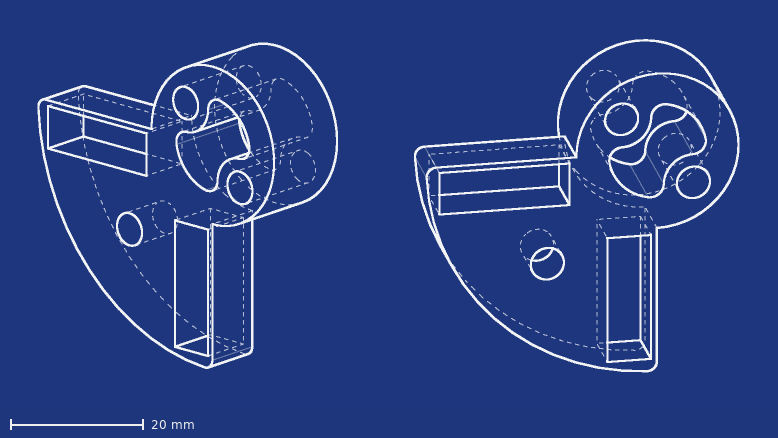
import cadquery as cq
import math

hub_radius = 12.45
hub_length = 14.15
overall_width = 47.9
sector_thickness = 8.95
sector_edge_offset = 0.1
sector_corner_radius = 1.5
wall = 1.0

hole_radius = 2.55
hub_hole_offset = 5.5
sector_hole_offset = 16.9
blind_depth = sector_thickness - wall

window_radius = 7.5
window_web = 2.0
window_corner_radius = 2.0

pocket_length = 19.95
pocket_width = 6.7
pocket_start = 13.5

corner_centre_reach = overall_width - hub_radius - sector_corner_radius
corner_centre_offset = sector_edge_offset + sector_corner_radius
sector_radius = math.hypot(corner_centre_reach, corner_centre_offset) + sector_corner_radius


def front_plane():
    """Sketch plane on the front face, with its normal along -Y."""
    return cq.Workplane("XZ")


def cylinder(x, z, radius, length):
    """Cylinder running back from the front face."""
    return front_plane().center(x, z).circle(radius).extrude(-length)


def make_sector():
    """Quarter disc below and left of the hub axis, with rounded outer corners."""
    diagonal = sector_radius * math.sqrt(0.5)
    edge_reach = math.sqrt(sector_radius**2 - sector_edge_offset**2)
    sector = (
        front_plane()
        .moveTo(-sector_edge_offset, -sector_edge_offset)
        .lineTo(-edge_reach, -sector_edge_offset)
        .threePointArc((-diagonal, -diagonal), (-sector_edge_offset, -edge_reach))
        .close()
        .extrude(-sector_thickness)
    )
    outer_corners = sector.edges("|Y").edges("<X or <Z")
    return outer_corners.fillet(sector_corner_radius)


def make_window():
    """Round opening narrowed by a web around each hub hole."""
    window = cylinder(0, 0, window_radius, hub_length)
    for side in (-1, 1):
        web = cylinder(side * hub_hole_offset, -side * hub_hole_offset, hole_radius + window_web, hub_length)
        window = window.cut(web)
    corners = window.edges("|Y")
    return corners.fillet(window_corner_radius)


def pocket(x_min, z_max, x_size, z_size):
    """Blind rectangular pocket located by its upper left corner."""
    return (
        front_plane()
        .center(x_min + x_size / 2, z_max - z_size / 2)
        .rect(x_size, z_size)
        .extrude(-blind_depth)
    )


result = cylinder(0, 0, hub_radius, hub_length).union(make_sector())
result = result.cut(make_window())

for side in (-1, 1):
    result = result.cut(cylinder(side * hub_hole_offset, -side * hub_hole_offset, hole_radius, hub_length))

result = result.cut(cylinder(-sector_hole_offset, -sector_hole_offset, hole_radius, blind_depth))
result = result.cut(pocket(-pocket_start - pocket_length, -wall, pocket_length, pocket_width))
result = result.cut(pocket(-wall - pocket_width, -pocket_start, pocket_width, pocket_length))